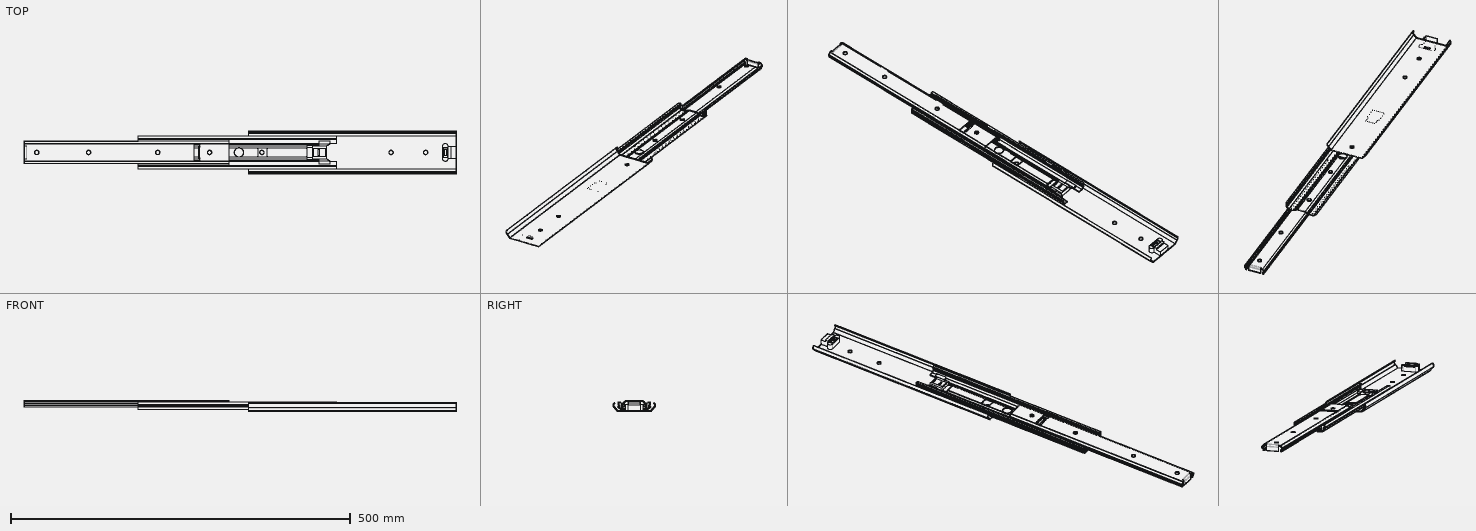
import math

import cadquery as cq


slide_length = 636.0
slide_width = 63.0
slide_height = 16.0
sheet = 1.6
half_sheet = sheet / 2
screw_hole = 6.05

outer_start = 330.0
outer_floor_half = 25.0
outer_race_radius = 4.5
outer_race_z = 9.0
outer_race_angle = 60
outer_race_y = slide_width / 2 - outer_race_radius
outer_hole_x = (350.0, 540.0, 591.0)

middle_start = 167.0
middle_end = 460.0
middle_bottom = 2.5
middle_top = 14.0
middle_groove_depth = 1.0
middle_waist_bottom = 7.5
middle_waist_top = 9.0
middle_lip_y = 20.5
middle_half_width = 24.0
ridge_half = 6.5
ridge_foot = 9.5
ridge_step = 1.0
ridge_step_y = 11.5
ridge_height = 3.0
web_half = 20.0
access_hole = 13.5
access_hole_x = 316.0
window_start = 344.0
window_length = 13.5
window_width = 13.0
tongue_slot_start = 416.0
tongue_slot_half = 10.0
latch_bay_start = 434.0
latch_bay_half = 13.5

inner_end = 301.5
inner_bottom = 6.5
inner_plate_half = 13.0
inner_half_width = 16.5
inner_shoulder_z = 12.0
inner_groove_depth = 2.0
inner_waist_z = 9.0
inner_hole_x = (18.5, 95.0, 196.5, 273.0)
end_lip_half = 9.5
end_lip_reach = 3.0
stop_slot_start = 250.0
stop_slot_length = 8.0
stop_tab_half = 8.0
stop_tab_bottom = 9.5

retainer_thickness = 2.2
retainer_y = 18.0
retainer_top = 12.0

latch_end = 445.5
latch_top = 9.0
latch_tongue_half = 7.5
latch_body_half = 9.5
latch_tongue_end = 424.5
trough_radius = 7.5
trough_half = 6.0
trough_rib_x = 432.5
trough_rib_width = 2.0
trough_rib_top = 7.5
wing_half = 17.0
wing_inner = 13.0
wing_end = 450.5
wing_height = 4.0

nose_start = 616.0
nose_end = 624.0
nose_half = 13.0
nose_tip_x = 621.5
nose_flat_half = 9.5
nose_top = 10.0
buffer_half = 9.0
buffer_top = 12.0
buffer_step_start = 628.5
buffer_ledge_top = 9.5
slot_width = 3.0
slot_length = 9.0
slot_x = 620.0
pocket_width = 6.0
pocket_length = 15.0
pocket_depth = 2.0


def side_line(points, offset):
    """Line parallel to a path of (Y, Z) points, on its left at the given distance, with sharp corners."""
    headings = [math.atan2(end[1] - start[1], end[0] - start[0]) for start, end in zip(points, points[1:])]
    arriving = [headings[0]] + headings
    leaving = headings + [headings[-1]]
    shifted = []
    for (y, z), before, after in zip(points, arriving, leaving):
        reach = offset / math.cos((after - before) / 2)
        normal = (before + after + math.pi) / 2
        shifted.append((y + reach * math.cos(normal), z + reach * math.sin(normal)))
    return shifted


def bent_sheet(points, thickness, x_start, x_end):
    """Folded sheet along X; the (Y, Z) points run along the middle of its thickness."""
    left = side_line(points, thickness / 2)
    right = side_line(points, -thickness / 2)
    section = cq.Workplane("YZ", origin=(x_start, 0, 0)).polyline(left + right[::-1]).close()
    return section.extrude(x_end - x_start)


def rail(half_points, x_start, x_end):
    """Rail that is symmetric about Y = 0; the points run outward from its flat centre."""
    other_half = [(-y, z) for y, z in reversed(half_points)]
    return bent_sheet(other_half + half_points, sheet, x_start, x_end)


def block(x_start, x_end, y_start, y_end, z_start, z_end):
    size = (x_end - x_start, y_end - y_start, z_end - z_start)
    return cq.Workplane().box(*size, centered=False).translate((x_start, y_start, z_start))


def upright_holes(x_positions, diameter):
    """Round cutters along Z on the centre line of the slide."""
    points = [(x, 0) for x in x_positions]
    return cq.Workplane().pushPoints(points).circle(diameter / 2).extrude(slide_height)


def race_point(radius, degrees, side):
    angle = math.radians(degrees)
    return (side * (outer_race_y + radius * math.cos(angle)), outer_race_z + radius * math.sin(angle))


def make_outer_race(side):
    """Curled wall of the outer rail that the balls run in; side is +1 or -1 along Y."""
    inside = outer_race_radius - sheet
    low = -outer_race_angle
    high = outer_race_angle
    return (
        cq.Workplane("YZ", origin=(outer_start, 0, 0))
        .moveTo(*race_point(outer_race_radius, low, side))
        .threePointArc(race_point(outer_race_radius, 0, side), race_point(outer_race_radius, high, side))
        .lineTo(*race_point(inside, high, side))
        .threePointArc(race_point(inside, 0, side), race_point(inside, low, side))
        .close()
        .extrude(slide_length - outer_start)
    )


def make_outer_rail():
    race_middle = outer_race_radius - half_sheet
    half_section = [
        (outer_floor_half, half_sheet),
        race_point(race_middle, -outer_race_angle, 1),
    ]
    body = rail(half_section, outer_start, slide_length)
    for side in (1, -1):
        body = body.union(make_outer_race(side))
    body = body.cut(upright_holes(outer_hole_x, screw_hole))
    return body.cut(stop_slot())


def make_middle_rail():
    web_z = middle_bottom + half_sheet
    ridge_z = web_z + ridge_height
    lip_z = middle_top - half_sheet
    flange_y = middle_half_width - half_sheet
    waist_y = flange_y - middle_groove_depth
    half_section = [
        (ridge_half, ridge_z),
        (ridge_foot, web_z + ridge_step),
        (ridge_step_y, web_z + ridge_step),
        (ridge_step_y + ridge_step, web_z),
        (web_half, web_z),
        (flange_y, middle_waist_bottom - middle_groove_depth),
        (waist_y, middle_waist_bottom),
        (waist_y, middle_waist_top),
        (flange_y, middle_waist_top + middle_groove_depth),
        (flange_y, lip_z),
        (middle_lip_y, lip_z),
    ]
    body = rail(half_section, middle_start, middle_end)
    body = body.cut(upright_holes([access_hole_x], access_hole))
    body = body.cut(upright_holes(inner_hole_x[2:], screw_hole))
    window_half = window_width / 2
    window_end = window_start + window_length
    body = body.cut(block(window_start, window_end, -window_half, window_half, 0, slide_height))
    for start, half in ((tongue_slot_start, tongue_slot_half), (latch_bay_start, latch_bay_half)):
        body = body.cut(block(start, middle_end, -half, half, 0, slide_height))
    return body


def make_end_lip():
    """Tongue of the plate that bends down through a quarter circle at X = 0."""
    top = slide_height
    inside = end_lip_reach - sheet
    lip = (
        cq.Workplane("XZ")
        .moveTo(end_lip_reach, top)
        .radiusArc((0, top - end_lip_reach), -end_lip_reach)
        .lineTo(0, inner_bottom)
        .lineTo(sheet, inner_bottom)
        .lineTo(sheet, top - end_lip_reach)
        .radiusArc((end_lip_reach, top - sheet), inside)
        .close()
    )
    return lip.extrude(end_lip_half, both=True)


def make_inner_rail():
    plate_z = slide_height - half_sheet
    edge_y = inner_half_width - half_sheet
    waist_y = edge_y - inner_groove_depth
    shoulder_bottom = inner_waist_z + inner_groove_depth
    half_section = [
        (inner_plate_half, plate_z),
        (edge_y, inner_shoulder_z),
        (edge_y, shoulder_bottom),
        (waist_y, inner_waist_z),
        (waist_y, inner_bottom),
    ]
    body = rail(half_section, 0, inner_end)
    body = body.cut(upright_holes(inner_hole_x, screw_hole))
    lip_half = end_lip_half
    body = body.cut(block(0, end_lip_reach, -lip_half, lip_half, inner_bottom, slide_height))
    body = body.union(make_end_lip())
    half = inner_plate_half
    slot_end = stop_slot_start + stop_slot_length
    plate_bottom = slide_height - sheet
    body = body.cut(block(stop_slot_start, slot_end, -half, half, plate_bottom, slide_height))
    tab_start = slot_end - sheet
    tab_end = slot_end + sheet
    tab = block(tab_start, tab_end, -stop_tab_half, stop_tab_half, stop_tab_bottom, plate_bottom)
    return body.union(tab)


def make_retainer(side):
    """Strip standing in the ball channel on the web; side is +1 or -1 along Y."""
    center_y = side * retainer_y
    half = retainer_thickness / 2
    web_top = middle_bottom + sheet
    return block(middle_start, inner_end, center_y - half, center_y + half, web_top, retainer_top)


def make_wing(side):
    """Side arm of the latch with a sloped guide that lies on the web of the middle rail."""
    base = middle_bottom + sheet
    arm = (
        cq.Workplane(origin=(0, 0, base))
        .polyline([
            (latch_bay_start, side * latch_body_half),
            (latch_end, side * latch_body_half),
            (wing_end, side * wing_inner),
            (latch_bay_start, side * wing_inner),
        ])
        .close()
        .extrude(wing_height / 2)
    )
    guide = (
        cq.Workplane("YZ", origin=(latch_bay_start, 0, 0))
        .polyline([
            (side * wing_inner, base),
            (side * wing_inner, base + wing_height / 2),
            (side * wing_half, base + wing_height),
            (side * wing_half, base),
        ])
        .close()
        .extrude(wing_end - latch_bay_start)
    )
    return arm.union(guide)


def make_latch():
    tongue_top = middle_bottom + sheet
    tongue = block(
        tongue_slot_start, latch_tongue_end, -latch_tongue_half, latch_tongue_half, sheet, tongue_top
    )
    half = latch_body_half
    body = block(latch_tongue_end, latch_end, -half, half, sheet, latch_top)
    depth_offset = (trough_radius**2 - trough_half**2) ** 0.5
    trough = (
        cq.Workplane("YZ", origin=(latch_tongue_end + sheet, 0, latch_top + depth_offset))
        .circle(trough_radius)
        .extrude(latch_end - latch_tongue_end - 2 * sheet)
    )
    rib = block(
        trough_rib_x, trough_rib_x + trough_rib_width, -trough_half, trough_half, sheet, trough_rib_top
    )
    body = body.union(tongue).cut(trough).union(rib)
    for side in (1, -1):
        body = body.union(make_wing(side))
    return body


def stop_pocket():
    """Shallow recess in the top of the nose, around the slot."""
    half_width = pocket_width / 2
    half_length = pocket_length / 2
    floor_z = nose_top - pocket_depth
    return block(slot_x - half_width, slot_x + half_width, -half_length, half_length, floor_z, nose_top)


def stop_slot():
    """Narrow slot through the nose of the end stop and the rail floor below it."""
    half_width = slot_width / 2
    half_length = slot_length / 2
    return block(slot_x - half_width, slot_x + half_width, -half_length, half_length, 0, slide_height)


def make_end_stop():
    nose = (
        cq.Workplane(origin=(0, 0, sheet))
        .moveTo(nose_end, nose_flat_half)
        .threePointArc((nose_tip_x, nose_half), (nose_start, nose_flat_half))
        .lineTo(nose_start, -nose_flat_half)
        .threePointArc((nose_tip_x, -nose_half), (nose_end, -nose_flat_half))
        .close()
        .extrude(nose_top - sheet)
    )
    post = block(nose_end, buffer_step_start, -buffer_half, buffer_half, sheet, buffer_top)
    ledge = block(buffer_step_start, slide_length, -buffer_half, buffer_half, sheet, buffer_ledge_top)
    nose = nose.cut(stop_pocket())
    return nose.union(post).union(ledge).cut(stop_slot())


outer_rail = make_outer_rail()
middle_rail = make_middle_rail()
inner_rail = make_inner_rail()
retainers = [make_retainer(side) for side in (1, -1)]
latch = make_latch()
end_stop = make_end_stop()

result = cq.Compound.makeCompound([
    outer_rail.val(),
    middle_rail.val(),
    inner_rail.val(),
    *[retainer.val() for retainer in retainers],
    latch.val(),
    end_stop.val(),
])